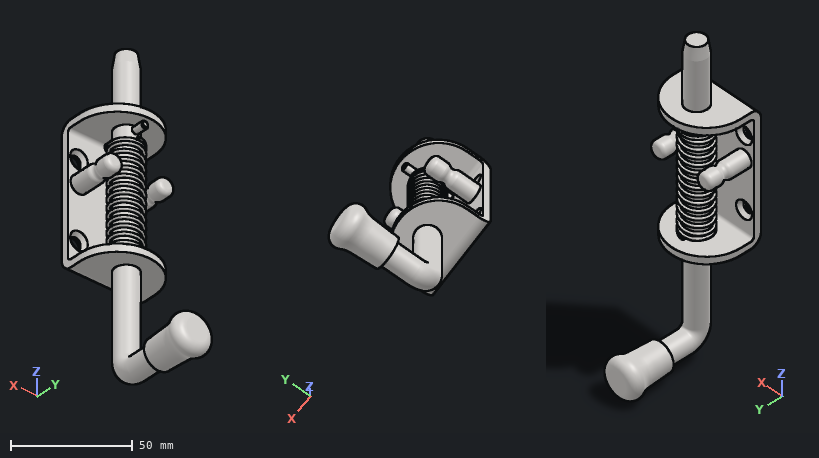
import cadquery as cq
import math


total_height = 168.4
rod_diameter = 12.0
rod_radius = rod_diameter / 2
tip_radius = 4.9
tip_length = 6.9
elbow_radius = 7.0
cross_pin_length = 24.4
cross_pin_radius = 1.9
cross_pin_chamfer = 0.5
cross_pin_height = 128.3

knob_radius = 10.5
knob_length = 24.7
knob_crown_radius = 4.7
knob_crown_length = 6.9
knob_neck_offset = 12.0
knob_neck_radius = 8.6
knob_mouth_radius = 7.9
knob_bore_depth = 16.8
knob_end_y = 45.3
handle_height = knob_radius
knob_mouth_y = knob_end_y - knob_length

bracket_width = 40.0
bracket_height = 73.0
bracket_bottom = 61.3
plate_thickness = 4.0
plate_front_y = -17.7
flange_depth = 32.0
bend_outer_radius = 6.0
bend_inner_radius = bend_outer_radius - plate_thickness
flange_radius = bracket_width / 2
flange_center_y = plate_front_y + flange_depth - flange_radius
bracket_mid_height = bracket_bottom + bracket_height / 2
plate_back_y = plate_front_y + plate_thickness
hole_spacing_x = 28.0
hole_spacing_z = 40.0
hole_diameter = 6.2
hole_straight_depth = 1.3
hole_back_diameter = 9.5

stud_radius = 4.5
stud_end_y = 9.8
stud_height = 105.4
stud_tip_fillet = 2.4
groove_half_width = 3.0
groove_depth = 1.0

wire_radius = 0.8
coil_radius = 7.4
spring_top = 124.5
closed_pitch = 1.9
bottom_closed_turns = 1.5
top_closed_turns = 2
active_turns = 12.5
points_per_turn = 12
spring_bottom = bracket_bottom + plate_thickness


def revolve_around_handle(profile):
    """Revolve an XY half profile (X = radius, Y = position) around the Y axis."""
    return profile.close().revolve(360, (0, 0, 0), (0, 1, 0))


def make_bolt():
    elbow_end = handle_height + elbow_radius
    handle_end_y = knob_mouth_y + knob_bore_depth
    diagonal = elbow_radius * math.sqrt(0.5)
    path = (
        cq.Workplane("YZ")
        .moveTo(0, total_height - tip_length)
        .lineTo(0, elbow_end)
        .threePointArc((elbow_radius - diagonal, elbow_end - diagonal), (elbow_radius, handle_height))
        .lineTo(handle_end_y, handle_height)
    )
    rod_top = cq.Workplane("XY").workplane(offset=total_height - tip_length)
    rod = rod_top.circle(rod_radius).sweep(path)
    tip = (
        rod_top.circle(rod_radius)
        .workplane(offset=tip_length)
        .circle(tip_radius)
        .loft(ruled=True)
    )
    cross_pin = (
        cq.Workplane("XZ", origin=(0, 0, cross_pin_height))
        .circle(cross_pin_radius)
        .extrude(cross_pin_length / 2, both=True)
        .faces("<Y or >Y")
        .chamfer(cross_pin_chamfer)
    )
    return rod.union(tip).union(cross_pin)


def make_knob():
    crown_center_radius = knob_radius - knob_crown_radius
    crown_edge_offset = knob_crown_length - knob_crown_radius
    crown_edge_radius = crown_center_radius + math.sqrt(knob_crown_radius**2 - crown_edge_offset**2)
    profile = (
        cq.Workplane("XY")
        .moveTo(0, knob_end_y)
        .lineTo(crown_center_radius, knob_end_y)
        .threePointArc(
            (knob_radius, knob_end_y - knob_crown_radius),
            (crown_edge_radius, knob_end_y - knob_crown_length),
        )
        .tangentArcPoint((knob_neck_radius, knob_end_y - knob_neck_offset), relative=False)
        .lineTo(knob_mouth_radius, knob_mouth_y)
        .lineTo(rod_radius, knob_mouth_y)
        .lineTo(rod_radius, knob_mouth_y + knob_bore_depth)
        .lineTo(0, knob_mouth_y + knob_bore_depth)
    )
    return revolve_around_handle(profile).translate((0, 0, handle_height))


def make_stud():
    """Stud with a rounded tip and an S-curved groove level with the bolt axis."""
    inflection = (stud_radius - groove_depth / 2, groove_half_width / 2)
    profile = (
        cq.Workplane("XY")
        .moveTo(0, plate_back_y)
        .lineTo(stud_radius, plate_back_y)
        .lineTo(stud_radius, -groove_half_width)
        .tangentArcPoint((inflection[0], -inflection[1]), relative=False)
        .tangentArcPoint(inflection, relative=False)
        .tangentArcPoint((stud_radius, groove_half_width), relative=False)
        .lineTo(stud_radius, stud_end_y)
        .lineTo(0, stud_end_y)
    )
    return revolve_around_handle(profile).faces(">Y").edges().fillet(stud_tip_fillet)


def make_bracket():
    flange_end_y = plate_front_y + flange_depth
    bracket = (
        cq.Workplane("XY", origin=(0, 0, bracket_mid_height))
        .box(bracket_width, flange_depth, bracket_height)
        .translate((0, flange_end_y - flange_depth / 2, 0))
    )
    gap = (
        cq.Workplane("XY", origin=(0, plate_back_y + flange_depth / 2, bracket_mid_height))
        .box(bracket_width, flange_depth, bracket_height - 2 * plate_thickness)
        .edges("|X and <Y")
        .fillet(bend_inner_radius)
    )
    bracket = bracket.edges("|X and <Y").fillet(bend_outer_radius).cut(gap)

    rounded_outline = (
        cq.Workplane("XY", origin=(0, 0, bracket_bottom))
        .moveTo(-flange_radius, plate_front_y)
        .lineTo(flange_radius, plate_front_y)
        .lineTo(flange_radius, flange_center_y)
        .threePointArc((0, flange_end_y), (-flange_radius, flange_center_y))
        .close()
        .extrude(bracket_height)
    )
    bracket = bracket.intersect(rounded_outline)

    bolt_bore = cq.Workplane("XY").circle(rod_radius).extrude(total_height)
    bracket = bracket.cut(bolt_bore)

    countersink_depth = plate_thickness - hole_straight_depth
    mounting_hole = (
        cq.Workplane("XZ", origin=(0, plate_back_y, 0))
        .circle(hole_back_diameter / 2)
        .workplane(offset=countersink_depth)
        .circle(hole_diameter / 2)
        .loft(ruled=True)
        .faces("<Y")
        .workplane()
        .circle(hole_diameter / 2)
        .extrude(hole_straight_depth)
    )
    for x in (-hole_spacing_x / 2, hole_spacing_x / 2):
        for z_offset in (-hole_spacing_z / 2, hole_spacing_z / 2):
            bracket = bracket.cut(mounting_hole.translate((x, 0, bracket_mid_height + z_offset)))

    for side in (-1, 1):
        bracket = bracket.union(make_stud().translate((side * hole_spacing_x / 2, 0, stud_height)))
    return bracket


def make_spring():
    """Left-hand coil spring starting at +Y, closed at both ends."""
    closed_turns = bottom_closed_turns + top_closed_turns
    total_turns = active_turns + closed_turns
    wire_rise = spring_top - spring_bottom - 2 * wire_radius
    active_pitch = (wire_rise - closed_turns * closed_pitch) / active_turns

    def wire_height(turn):
        active_part = min(max(turn - bottom_closed_turns, 0), active_turns)
        rise = turn * closed_pitch + active_part * (active_pitch - closed_pitch)
        return spring_bottom + wire_radius + rise

    def wire_point(index):
        turn = index / points_per_turn
        angle = 2 * math.pi * turn
        return cq.Vector(coil_radius * math.sin(angle), coil_radius * math.cos(angle), wire_height(turn))

    last_point = round(total_turns * points_per_turn)
    path = cq.Edge.makeSpline([wire_point(index) for index in range(last_point + 1)])
    start_plane = cq.Plane(path.startPoint(), xDir=(0, 1, 0), normal=path.tangentAt(0))
    return cq.Workplane(start_plane).circle(wire_radius).sweep(cq.Workplane(path), isFrenet=True)


bolt = make_bolt()
knob = make_knob()
bracket = make_bracket()
spring = make_spring()

result = cq.Compound.makeCompound(
    [*bolt.solids().vals(), knob.val(), *bracket.solids().vals(), spring.val()]
)